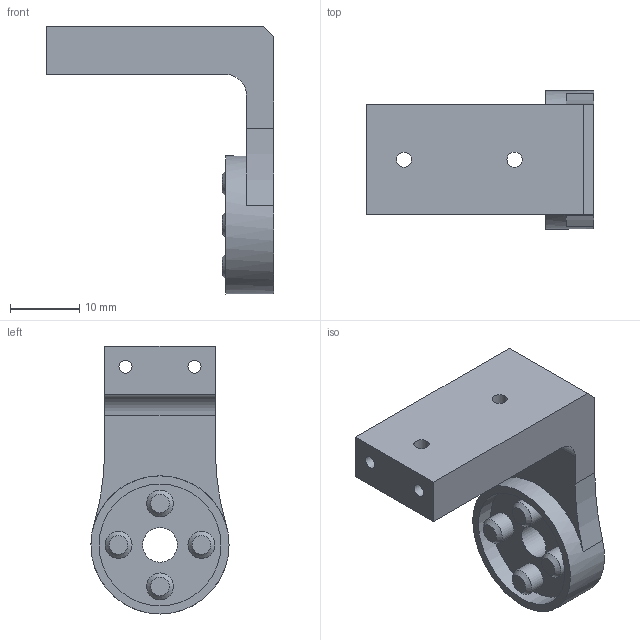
import cadquery as cq
import math


arm_length = 33.0
arm_width = 16.0
arm_thickness = 7.0
web_thickness = 4.0
arm_top_z = 28.81
corner_chamfer = 1.5
inner_fillet = 3.0

disc_radius = 20.0 / 2
disc_thickness = 7.0
recess_diameter = 17.65
recess_depth = 2.5
bore_diameter = 5.0

pin_count = 4
pin_diameter = 3.9
pin_circle_radius = 6.0
pin_chamfer = 0.6
pin_overhang = 0.5

flare_radius = 40.0

top_hole_diameter = 2.2
top_hole_end_distance = 5.5
top_hole_spacing = 16.0
end_hole_diameter = 1.9
end_hole_spacing = 10.0
end_hole_depth_below_top = 3.0

half_width = arm_width / 2
arm_bottom_z = arm_top_z - arm_thickness
recess_floor_x = recess_depth - disc_thickness

flare_center_y = half_width + flare_radius
flare_start_z = math.sqrt((disc_radius + flare_radius) ** 2 - flare_center_y ** 2)
rim_scale = disc_radius / (disc_radius + flare_radius)
flare_end_y = flare_center_y * rim_scale
flare_end_z = flare_start_z * rim_scale
flare_mid_angle = math.atan2(flare_start_z, flare_center_y) / 2
flare_mid_y = flare_center_y - flare_radius * math.cos(flare_mid_angle)
flare_mid_z = flare_start_z - flare_radius * math.sin(flare_mid_angle)


def cylinder_along_x(diameter, x_start, x_end, y=0.0, z=0.0):
    """Cylinder parallel to X between two X positions."""
    return (
        cq.Workplane("YZ", origin=(x_start, y, z))
        .circle(diameter / 2)
        .extrude(x_end - x_start)
    )


def make_bracket():
    """L-shaped arm and upper web with an inner fillet and outer chamfer."""
    web_face_x = -web_thickness
    fillet_center_x = web_face_x - inner_fillet
    fillet_center_z = arm_bottom_z - inner_fillet
    diagonal = inner_fillet * math.sqrt(0.5)
    return (
        cq.Workplane("XZ")
        .moveTo(-arm_length, arm_top_z)
        .lineTo(-corner_chamfer, arm_top_z)
        .lineTo(0, arm_top_z - corner_chamfer)
        .lineTo(0, flare_start_z)
        .lineTo(web_face_x, flare_start_z)
        .lineTo(web_face_x, fillet_center_z)
        .threePointArc(
            (fillet_center_x + diagonal, fillet_center_z + diagonal),
            (fillet_center_x, arm_bottom_z),
        )
        .lineTo(-arm_length, arm_bottom_z)
        .close()
        .extrude(half_width, both=True)
    )


def make_flared_web():
    """Lower web whose sides sweep outward into the disc rim."""
    return (
        cq.Workplane("YZ", origin=(-web_thickness, 0, 0))
        .moveTo(-half_width, flare_start_z)
        .lineTo(half_width, flare_start_z)
        .threePointArc((flare_mid_y, flare_mid_z), (flare_end_y, flare_end_z))
        .lineTo(0, 0)
        .lineTo(-flare_end_y, flare_end_z)
        .threePointArc((-flare_mid_y, flare_mid_z), (-half_width, flare_start_z))
        .close()
        .extrude(web_thickness)
    )


def make_pin(index):
    """One chamfered pin from the recess floor to beyond the rim."""
    angle = math.radians(index * 360 / pin_count)
    pin = cylinder_along_x(
        pin_diameter,
        -disc_thickness - pin_overhang,
        recess_floor_x,
        pin_circle_radius * math.cos(angle),
        pin_circle_radius * math.sin(angle),
    )
    return pin.faces("<X").chamfer(pin_chamfer)


def cut_top_holes(body):
    """Two vertical holes through the arm on its centre line."""
    first_x = -arm_length + top_hole_end_distance
    return body.cut(
        cq.Workplane("XY", origin=(0, 0, arm_bottom_z))
        .pushPoints([(first_x, 0), (first_x + top_hole_spacing, 0)])
        .circle(top_hole_diameter / 2)
        .extrude(arm_thickness)
    )


def cut_end_holes(body):
    """Two holes running the full length of the arm."""
    hole_z = arm_top_z - end_hole_depth_below_top
    for side in (-1, 1):
        hole_y = side * end_hole_spacing / 2
        body = body.cut(cylinder_along_x(end_hole_diameter, -arm_length, 0, hole_y, hole_z))
    return body


def build_part():
    body = make_bracket().union(make_flared_web())
    body = body.union(cylinder_along_x(2 * disc_radius, -disc_thickness, 0))
    body = body.cut(cylinder_along_x(recess_diameter, -disc_thickness, recess_floor_x))
    for index in range(pin_count):
        body = body.union(make_pin(index))
    body = body.cut(cylinder_along_x(bore_diameter, -disc_thickness, 0))
    body = cut_top_holes(body)
    return cut_end_holes(body)


result = build_part()